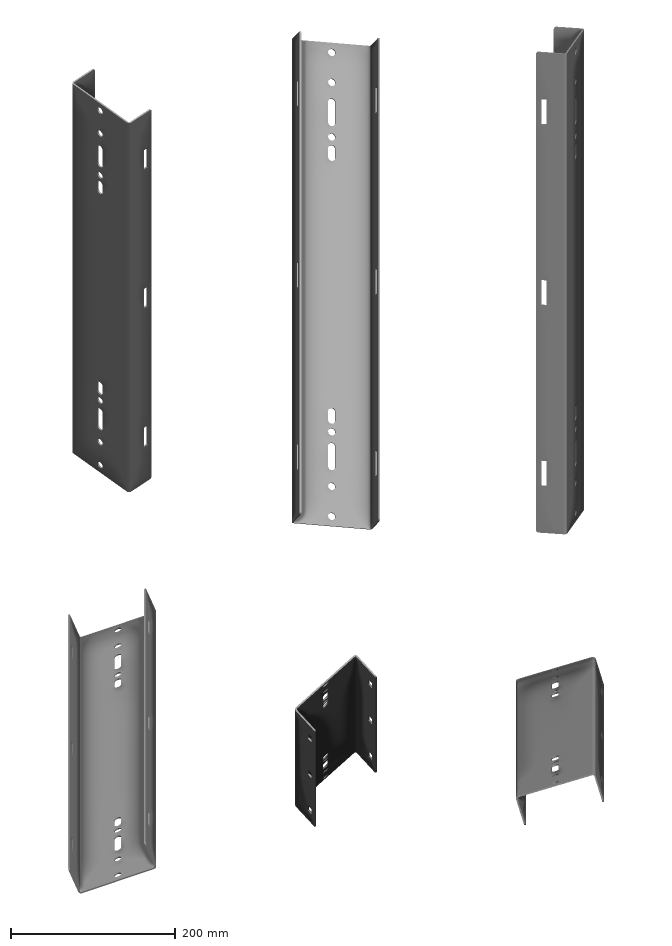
import cadquery as cq

length = 616.0
width = 101.5
depth = 38.0
thickness = 2.0
inner_bend_radius = 1.7
outer_bend_radius = inner_bend_radius + thickness
web_face_y = -depth / 2
flange_edge_y = depth / 2

flange_corner_radius = 3.0

opening_width = 9.0
hole_end_distances = [12.5, 50.5, 120.0]
long_slot_length = 35.0
long_slot_end_distance = 89.0
short_slot_length = 20.5
short_slot_end_distance = 140.5

flange_slot_length = 32.0
flange_slot_width = 6.0
flange_slot_edge_distance = 10.0
flange_slot_pitch = 231.5


def make_channel():
    """Bent sheet channel with concentric inner and outer bend radii."""
    outer = cq.Workplane("XY").box(width, depth, length)
    outer = outer.edges("|Z and <Y").fillet(outer_bend_radius)
    cavity = (
        cq.Workplane("XY")
        .box(width - 2 * thickness, depth, length)
        .edges("|Z and <Y")
        .fillet(inner_bend_radius)
        .translate((0, thickness, 0))
    )
    return outer.cut(cavity).faces(">Y").edges("|X").fillet(flange_corner_radius)


def mirrored_positions(end_distance):
    """Points on the web centreline at the same distance from both ends."""
    height = length / 2 - end_distance
    return [(0, height), (0, -height)]


def make_web_openings():
    """Round holes and upright slots through the web."""
    plane = cq.Workplane("XZ", origin=(0, web_face_y + thickness, 0))
    cut_depth = 2 * thickness
    openings = cq.Workplane("XZ")
    for distance in hole_end_distances:
        holes = plane.pushPoints(mirrored_positions(distance)).circle(opening_width / 2)
        openings = openings.add(holes.extrude(cut_depth))
    slots = [
        (long_slot_end_distance, long_slot_length),
        (short_slot_end_distance, short_slot_length),
    ]
    for distance, slot_length in slots:
        outline = plane.pushPoints(mirrored_positions(distance)).slot2D(slot_length, opening_width, 90)
        openings = openings.add(outline.extrude(cut_depth))
    return openings.combine()


def make_flange_slots():
    """Three evenly spaced rectangular slots passing through both flanges."""
    slot_y = flange_edge_y - flange_slot_edge_distance
    centres = [(0, slot_y, step * flange_slot_pitch) for step in (-1, 0, 1)]
    slot = cq.Workplane("XY").box(width, flange_slot_width, flange_slot_length).val()
    slots = [slot.translate(cq.Vector(*centre)) for centre in centres]
    return cq.Workplane("XY").newObject(slots).combine()


result = make_channel().cut(make_web_openings()).cut(make_flange_slots())